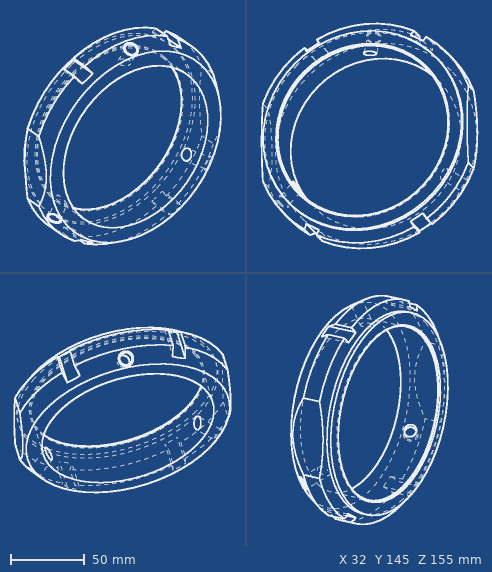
import cadquery as cq
import math

width = 32.0
outer_radius = 155.0 / 2
shoulder_radius = 140.0 / 2
bore_radius = 120.0 / 2
recess_radius = 122.0 / 2
recess_depth = 1.5

land_start = 7.5
shoulder_cone_angle = 60.0
hole_cone_angle = 30.0
end_radius = 142.0 / 2
land_end = width - (outer_radius - end_radius) / math.tan(math.radians(hole_cone_angle))

across_flats = 145.0

notch_width = 10.0
notch_depth = 4.0
notch_angles = (30.0, 150.0, 210.0, 330.0)

hole_diameter = 8.38
counterbore_diameter = 10.2
counterbore_depth = 0.5
hole_x = 26.75
hole_count = 3


def turned_ring():
    cone_start = land_start - (outer_radius - shoulder_radius) / math.tan(math.radians(shoulder_cone_angle))
    profile = (
        cq.Workplane("XZ")
        .moveTo(0, recess_radius)
        .lineTo(0, shoulder_radius)
        .lineTo(cone_start, shoulder_radius)
        .lineTo(land_start, outer_radius)
        .lineTo(land_end, outer_radius)
        .lineTo(width, end_radius)
        .lineTo(width, bore_radius)
        .lineTo(recess_depth, bore_radius)
        .lineTo(recess_depth, recess_radius)
        .close()
    )
    return profile.revolve(360, (0, 0, 0), (1, 0, 0))


def flats_envelope():
    height = 2 * outer_radius
    return cq.Workplane("XY").box(width, across_flats, height, centered=(False, True, True))


def notch_cutter(angle):
    """Full-width slot at the top of the ring, turned about X by the angle."""
    floor = outer_radius - notch_depth
    slot = (
        cq.Workplane("XY", origin=(0, 0, floor))
        .box(width, notch_width, 2 * notch_depth, centered=(False, True, False))
    )
    return slot.rotate((0, 0, 0), (1, 0, 0), angle)


def hole_cutter(angle):
    """Counterbored hole through the cone into the bore, turned about X by the angle."""
    tilt = math.radians(hole_cone_angle)
    mouth_height = outer_radius - (hole_x - land_end) * math.tan(tilt)
    mouth = cq.Vector(hole_x, 0, mouth_height)
    inward = cq.Vector(-math.sin(tilt), 0, -math.cos(tilt))
    wall = mouth_height - bore_radius
    drill = cq.Solid.makeCylinder(hole_diameter / 2, 2 * wall, mouth, inward)
    counterbore_floor = mouth + inward * counterbore_depth
    counterbore = cq.Solid.makeCylinder(counterbore_diameter / 2, wall, counterbore_floor, -inward)
    cutter = cq.Workplane(drill).union(cq.Workplane(counterbore))
    return cutter.rotate((0, 0, 0), (1, 0, 0), angle)


result = turned_ring().intersect(flats_envelope())
for notch_angle in notch_angles:
    result = result.cut(notch_cutter(notch_angle))
for index in range(hole_count):
    result = result.cut(hole_cutter(index * 360.0 / hole_count))